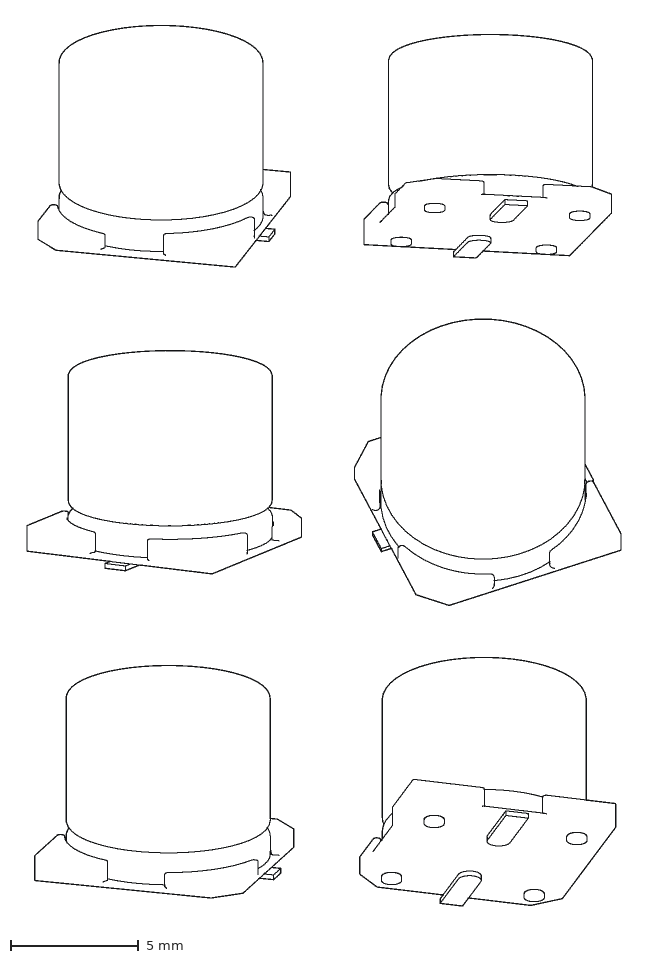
import cadquery as cq

length = 9.0
lead_thickness = 0.2
total_height = 7.0

base_side = 8.3
corner_chamfer = 1.0
base_bottom = lead_thickness
floor_top = 0.47
low_pad_top = 1.0
high_pad_top = 1.25
seat_radius = 4.05
notch_half_width = 1.19
pad_tip_radius = 0.15
base_edge_radius = 0.05

can_radius = 8.0 / 2
neck_radius = 7.2 / 2
groove_center = 1.55
groove_radius = 0.17
neck_height = 0.04
can_fillet = 0.15

lead_width = 0.92
lead_inner_end = 1.54
foot_diameter = 0.8
foot_offset = 2.92
foot_edge_radius = 0.03


def base_outline(height):
    """Square block with the two corners on the -X side cut off and its upright edges rounded."""
    block = cq.Workplane("XY").box(base_side, base_side, height, centered=(True, True, False))
    return block.edges("|Z and <X").chamfer(corner_chamfer).edges("|Z").fillet(base_edge_radius)


def corner_pad(x_side, y_side, height):
    """One corner of the base, hollowed for the can, with rounded tips beside the notches."""
    reach = base_side / 2 - notch_half_width
    middle = notch_half_width + reach / 2
    quarter = cq.Workplane("XY").box(reach, reach, height, centered=(True, True, False))
    quarter = quarter.translate((x_side * middle, y_side * middle, 0))
    seat = cq.Workplane("XY").circle(seat_radius).extrude(height)
    pad = base_outline(height).intersect(quarter).cut(seat)
    toward_x = "<X" if x_side > 0 else ">X"
    toward_y = "<Y" if y_side > 0 else ">Y"
    for toward_middle in (toward_x, toward_y):
        pad = pad.faces(toward_middle).edges("|Z").fillet(pad_tip_radius)
    return pad.faces(">Z").edges().fillet(base_edge_radius)


def make_base():
    """Notched base: a thin floor with two low and two high corner pads."""
    floor_height = floor_top - base_bottom
    base = base_outline(floor_height).edges(">Z").fillet(base_edge_radius)
    for y_side in (-1, 1):
        base = base.union(corner_pad(-1, y_side, low_pad_top - base_bottom))
        base = base.union(corner_pad(1, y_side, high_pad_top - base_bottom))
    base = base.faces("<Z").edges().fillet(base_edge_radius)
    return base.translate((0, 0, base_bottom))


def make_can():
    """Revolved can: straight foot, rolled groove, straight wall and rounded top rim."""
    groove_top = groove_center + neck_height / 2 + groove_radius
    groove_bottom = groove_center - neck_height / 2 - groove_radius
    lip_radius = can_radius - can_fillet
    groove_mouth = neck_radius + groove_radius
    profile = (
        cq.Workplane("XZ")
        .moveTo(0, floor_top)
        .lineTo(can_radius, floor_top)
        .lineTo(can_radius, groove_bottom - can_fillet)
        .radiusArc((lip_radius, groove_bottom), -can_fillet)
        .lineTo(groove_mouth, groove_bottom)
        .radiusArc((neck_radius, groove_bottom + groove_radius), groove_radius)
        .lineTo(neck_radius, groove_top - groove_radius)
        .radiusArc((groove_mouth, groove_top), groove_radius)
        .lineTo(lip_radius, groove_top)
        .radiusArc((can_radius, groove_top + can_fillet), -can_fillet)
        .lineTo(can_radius, total_height - can_fillet)
        .radiusArc((lip_radius, total_height), -can_fillet)
        .lineTo(0, total_height)
        .close()
    )
    return profile.revolve(360, (0, 0, 0), (0, 1, 0))


def make_lead(x_side):
    """Flat lead from the outer end to a round inner end under the base."""
    half_width = lead_width / 2
    round_center = x_side * (lead_inner_end + half_width)
    outer_end = x_side * length / 2
    return (
        cq.Workplane("XY")
        .moveTo(outer_end, -half_width)
        .lineTo(round_center, -half_width)
        .threePointArc((x_side * lead_inner_end, 0), (round_center, half_width))
        .lineTo(outer_end, half_width)
        .close()
        .extrude(lead_thickness)
    )


def make_feet():
    """Four round support feet under the base, rounded at both ends."""
    spacing = 2 * foot_offset
    feet = cq.Workplane("XY").rarray(spacing, spacing, 2, 2)
    feet = feet.circle(foot_diameter / 2).extrude(lead_thickness)
    return feet.faces("<Z or >Z").edges().fillet(foot_edge_radius)


result = make_base().union(make_can())
for side in (-1, 1):
    result = result.union(make_lead(side))
result = result.union(make_feet())